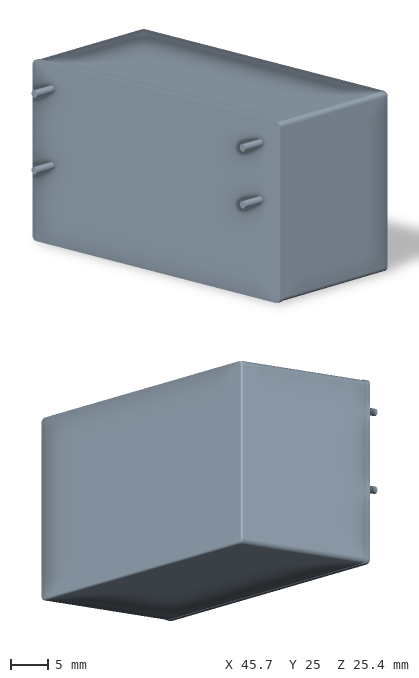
import cadquery as cq

length = 45.7
height = 25.4
plate_thickness = 0.7
corner_radius = 0.75

body_depth = 21.5
case_inset = 0.1
back_edge_radius = 0.27

pin_diameter = 1.0
pin_length = 3.5
pin_x = 19.25
pin_top_z = 9.25
right_pin_pitch = 8.0
left_pin_pitch = 10.75
pin_positions = [
    (-pin_x, pin_top_z),
    (-pin_x, pin_top_z - left_pin_pitch),
    (pin_x, pin_top_z),
    (pin_x, pin_top_z - right_pin_pitch),
]


def rounded_block(size_x, size_z, start_y, depth, radius):
    """Block from start_y toward +Y, with its four Y edges rounded."""
    block = cq.Workplane("XZ", origin=(0, start_y, 0)).rect(size_x, size_z).extrude(-depth)
    return block.edges("|Y").fillet(radius)


def make_pin(x, z):
    """Round pin with a flat tip, standing on the plate's front face."""
    return cq.Workplane("XZ", origin=(x, 0, z)).circle(pin_diameter / 2).extrude(pin_length)


plate = rounded_block(length, height, 0, plate_thickness, corner_radius)
case = rounded_block(
    length - 2 * case_inset,
    height - 2 * case_inset,
    plate_thickness,
    body_depth - plate_thickness,
    corner_radius - case_inset,
)
case = case.faces(">Y").edges().fillet(back_edge_radius)

result = plate.union(case)
for x, z in pin_positions:
    result = result.union(make_pin(x, z))